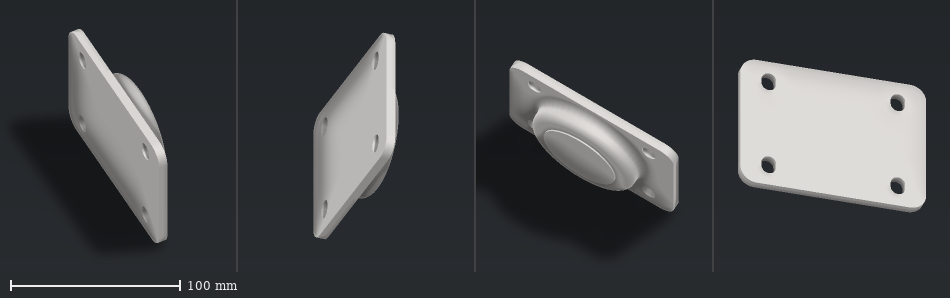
import cadquery as cq

PLATE_WIDTH = 115.0
PLATE_HEIGHT = 85.0
PLATE_THICKNESS = 5.5
CORNER_RADIUS = 10.0

SLOT_WIDTH = 9.0
SLOT_LENGTH = 11.5
SLOT_SPACING_X = 80.0
SLOT_SPACING_Z = 57.5

BOSS_DIAMETER = 71.0
BOSS_RIM_RADIUS = 5.0
BOSS_FOOT_RADIUS = 5.0
PAD_DIAMETER = 50.0
PAD_HEIGHT = 1.0
TOTAL_DEPTH = 19.3
BOSS_END = TOTAL_DEPTH - PAD_HEIGHT


def make_plate():
    """Rectangular plate with rounded corners, from Y = 0 to its thickness."""
    return (
        cq.Workplane("XZ")
        .rect(PLATE_WIDTH, PLATE_HEIGHT)
        .extrude(-PLATE_THICKNESS)
        .edges("|Y")
        .fillet(CORNER_RADIUS)
    )


def make_boss():
    """Boss and pad revolved about Y, with a flared foot and a rounded rim."""
    boss_radius = BOSS_DIAMETER / 2
    pad_radius = PAD_DIAMETER / 2
    foot_end = PLATE_THICKNESS + BOSS_FOOT_RADIUS
    rim_start = BOSS_END - BOSS_RIM_RADIUS
    profile = (
        cq.Workplane("XY")
        .lineTo(boss_radius + BOSS_FOOT_RADIUS, 0)
        .lineTo(boss_radius + BOSS_FOOT_RADIUS, PLATE_THICKNESS)
        .radiusArc((boss_radius, foot_end), BOSS_FOOT_RADIUS)
        .lineTo(boss_radius, rim_start)
        .radiusArc((boss_radius - BOSS_RIM_RADIUS, BOSS_END), -BOSS_RIM_RADIUS)
        .lineTo(pad_radius, BOSS_END)
        .lineTo(pad_radius, TOTAL_DEPTH)
        .lineTo(0, TOTAL_DEPTH)
        .close()
    )
    return profile.revolve(360, (0, 0, 0), (0, 1, 0))


def make_slots():
    """Four slot cutters, long in Z, through the plate."""
    return (
        cq.Workplane("XZ")
        .rarray(SLOT_SPACING_X, SLOT_SPACING_Z, 2, 2)
        .slot2D(SLOT_LENGTH, SLOT_WIDTH, 90)
        .extrude(-PLATE_THICKNESS)
    )


result = make_plate().union(make_boss()).cut(make_slots())